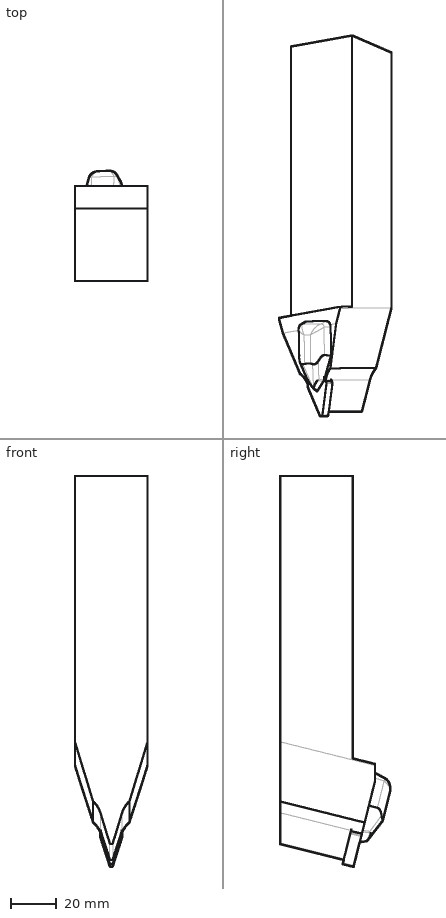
import cadquery as cq
import math


SHANK_SIDE = 31.9
TOTAL_HEIGHT = 171.4

SEAT_TILT = 14.0
TIP_Y = 32.2
TILT_SIN = math.sin(math.radians(SEAT_TILT))
TILT_COS = math.cos(math.radians(SEAT_TILT))
SEAT_NORMAL = cq.Vector(0, TILT_COS, -TILT_SIN)

NOSE_ANGLE = 35.0
HALF_NOSE_ANGLE = math.radians(NOSE_ANGLE / 2)
INSERT_EDGE = 16.6
INSERT_THICKNESS = 5.0
NOSE_RADIUS = 0.8
FLANK_SLOPE = math.tan(HALF_NOSE_ANGLE)
NOSE_SETBACK = NOSE_RADIUS / math.sin(HALF_NOSE_ANGLE) - NOSE_RADIUS
INSERT_HALF_LENGTH = INSERT_EDGE * math.cos(HALF_NOSE_ANGLE)
INSERT_HALF_WIDTH = INSERT_EDGE * math.sin(HALF_NOSE_ANGLE)
INSERT_CENTER = INSERT_HALF_LENGTH - NOSE_SETBACK

HEAD_DEPTH = 41.6
HEAD_TOP = 46.1
FLANK_TOP = 45.4
NECK_TOP = 20.0
NECK_BOTTOM = 15.3
HEAD_BOTTOM = 1.9
HEAD_NOSE_RADIUS = 0.74
HEAD_LENGTH = 2 * HEAD_DEPTH

CLAMP_LEAN = -8.0
CLAMP_HEIGHT = 7.5
CLAMP_DRAFT = 15.0
CLAMP_HALF_WIDTH = 7.7
CLAMP_END = 28.0
CLAMP_CORNER_RADIUS = 2.7
CLAMP_EDGE_RADIUS = 5.0
FOOT_START = 20.5
FOOT_DEPTH = 1.0
TAPER_START = 13.5
TOE_HALF_WIDTH = 3.6
TOE_START = 1.7
TOE_TIP = -2.9
TOE_HEIGHT = 2.4
SLOPE_START = 9.3
SLOPE_EDGE_RADIUS = 2.2


def seat_plane(height=0.0, lean=0.0):
    """Plane on the seat face, moved up along it and turned about its normal."""
    plane = cq.Plane(
        origin=(0, TIP_Y + height * TILT_SIN, height * TILT_COS),
        xDir=(-1, 0, 0),
        normal=SEAT_NORMAL,
    )
    return plane.rotated((0, 0, lean))


def make_shank():
    """Square bar that ends below on the tilted top of the head."""
    def head_top_z(y):
        return HEAD_TOP / TILT_COS + (TIP_Y - y) * TILT_SIN / TILT_COS

    side = [
        (0, TOTAL_HEIGHT),
        (SHANK_SIDE, TOTAL_HEIGHT),
        (SHANK_SIDE, head_top_z(SHANK_SIDE)),
        (0, head_top_z(0)),
    ]
    return cq.Workplane("YZ").polyline(side).close().extrude(SHANK_SIDE / 2, both=True)


def make_head():
    """Tapered head with a narrow neck, square to the seat face."""
    half = SHANK_SIDE / 2
    neck_top_half = half - (FLANK_TOP - NECK_TOP) * FLANK_SLOPE
    nose_half = HEAD_NOSE_RADIUS * math.cos(HALF_NOSE_ANGLE)
    nose_end = HEAD_BOTTOM + HEAD_NOSE_RADIUS * (1 - math.sin(HALF_NOSE_ANGLE))
    neck_half = nose_half + (NECK_BOTTOM - nose_end) * FLANK_SLOPE
    half_outline = (
        cq.Workplane(seat_plane())
        .moveTo(0, HEAD_BOTTOM)
        .radiusArc((nose_half, nose_end), -HEAD_NOSE_RADIUS)
        .lineTo(neck_half, NECK_BOTTOM)
        .tangentArcPoint((neck_top_half, NECK_TOP), relative=False)
        .lineTo(half, FLANK_TOP)
        .lineTo(half, HEAD_TOP)
        .lineTo(0, HEAD_TOP)
    )
    prism = half_outline.mirrorY().extrude(-HEAD_LENGTH)
    envelope = cq.Workplane("XY").box(
        SHANK_SIDE, HEAD_DEPTH, TOTAL_HEIGHT, centered=(True, False, False)
    )
    return prism.intersect(envelope)


def make_clamp_block():
    """Drafted block with rounded far corners and upper edges, starting at the depth of its foot."""
    plan = (
        cq.Sketch()
        .rect(2 * CLAMP_HALF_WIDTH, 2 * CLAMP_END)
        .vertices(">Y")
        .fillet(CLAMP_CORNER_RADIUS)
    )
    return (
        cq.Workplane("XY", origin=(0, 0, -FOOT_DEPTH))
        .placeSketch(plan)
        .extrude(FOOT_DEPTH + CLAMP_HEIGHT, taper=CLAMP_DRAFT)
        .faces(">Z")
        .edges("not <Y")
        .fillet(CLAMP_EDGE_RADIUS)
    )


def make_toe_envelope():
    """Drafted prism whose lower end narrows to the point of the toe, cut off by the sloping top."""
    taper_rise = (TAPER_START - TOE_START) / (CLAMP_HALF_WIDTH - TOE_HALF_WIDTH)
    wide_half = 2 * CLAMP_HALF_WIDTH
    wide_start = TOE_START + (wide_half - TOE_HALF_WIDTH) * taper_rise
    right_side = [
        (TOE_HALF_WIDTH, TOE_START),
        (wide_half, wide_start),
        (wide_half, wide_start + CLAMP_END),
    ]
    left_side = [(-x, y) for x, y in reversed(right_side)]
    prism = (
        cq.Workplane("XY")
        .polyline([(0, TOE_TIP)] + right_side + left_side)
        .close()
        .extrude(CLAMP_HEIGHT, taper=CLAMP_DRAFT)
    )
    slope = (
        cq.Workplane("YZ")
        .polyline([
            (SLOPE_START, CLAMP_HEIGHT),
            (TOE_TIP, TOE_HEIGHT),
            (TOE_TIP, CLAMP_HEIGHT),
        ])
        .close()
        .extrude(wide_half, both=True)
    )
    slope_side_edges = cq.selectors.BoxSelector(
        (-wide_half, TOE_START, 0),
        (wide_half, SLOPE_START, CLAMP_HEIGHT),
    )
    return prism.cut(slope).edges(slope_side_edges).edges("not |X").fillet(SLOPE_EDGE_RADIUS)


def make_foot_envelope():
    """Box around the foot under the far end of the clamp, where the head face is upright."""
    return (
        cq.Workplane("XY")
        .center(0, FOOT_START + CLAMP_END / 2)
        .rect(4 * CLAMP_HALF_WIDTH, CLAMP_END)
        .extrude(-FOOT_DEPTH)
    )


def make_clamp():
    """Clamp leaning over the insert from one side of the head."""
    envelope = make_toe_envelope().union(make_foot_envelope())
    block = make_clamp_block().intersect(envelope)
    seat = seat_plane(INSERT_CENTER, CLAMP_LEAN)
    return cq.Workplane(block.val().moved(seat.location))


def make_insert():
    """Diamond insert, flush with the seat face."""
    return (
        cq.Workplane(seat_plane(INSERT_CENTER))
        .polyline([
            (0, -INSERT_HALF_LENGTH),
            (INSERT_HALF_WIDTH, 0),
            (0, INSERT_HALF_LENGTH),
            (-INSERT_HALF_WIDTH, 0),
        ])
        .close()
        .extrude(-INSERT_THICKNESS)
        .edges(cq.selectors.ParallelDirSelector(SEAT_NORMAL))
        .fillet(NOSE_RADIUS)
    )


insert = make_insert()
holder = make_shank().union(make_head()).cut(insert).union(make_clamp())

result = cq.Compound.makeCompound([holder.val(), insert.val()])